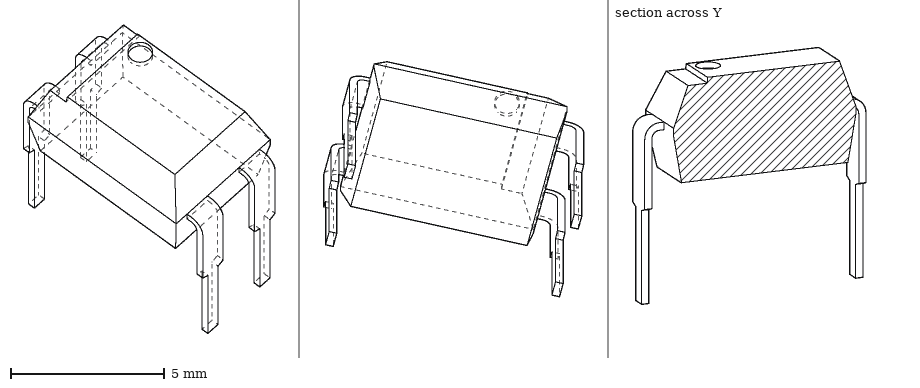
import cadquery as cq
import math

body_length = 6.5
body_width = 4.6
band_height = 0.3
upper_height = 1.6
lower_height = 1.6
upper_draft = 20.0
lower_draft = 10.0

step_length = 1.2
step_depth = 0.2

dimple_diameter = 0.81
dimple_depth = 0.2
dimple_x = -1.49
dimple_y = 1.22

row_spacing = 7.62
lead_pitch = 2.54
lead_thickness = 0.26
lead_height = 6.2
lead_embed = 0.5
bend_outer_radius = 0.52
shoulder_width = 1.0
tip_width = 0.5
shoulder_drop = 2.9
taper_height = 0.1

band_top = lead_height
band_bottom = band_top - band_height
body_top = band_top + upper_height
lead_outer_x = (row_spacing + lead_thickness) / 2
bend_inner_radius = bend_outer_radius - lead_thickness


def tapered_block(base_z, height, draft):
    """Block starting at the band outline and narrowing away from it; a negative height goes down."""
    inset = abs(height) * math.tan(math.radians(draft))
    return (
        cq.Workplane("XY", origin=(0, 0, base_z))
        .rect(body_length, body_width)
        .workplane(offset=height)
        .rect(body_length - 2 * inset, body_width - 2 * inset)
        .loft(ruled=True)
    )


def make_body():
    band = cq.Workplane("XY", origin=(0, 0, band_bottom)).rect(body_length, body_width).extrude(band_height)
    upper = tapered_block(band_top, upper_height, upper_draft)
    lower = tapered_block(band_bottom, -lower_height, lower_draft)
    step = (
        cq.Workplane("XY", origin=(-body_length / 2, 0, body_top - step_depth))
        .box(step_length, body_width, step_depth, centered=(False, True, False))
    )
    dimple = (
        cq.Workplane("XY", origin=(dimple_x, dimple_y, body_top - dimple_depth))
        .circle(dimple_diameter / 2)
        .extrude(dimple_depth)
    )
    return band.union(upper).union(lower).cut(step).cut(dimple)


def make_lead():
    """Lead on the +X side, centred on Y = 0: a bent strip trimmed to its shouldered outline."""
    inner_end_x = body_length / 2 - lead_embed
    bend_x = lead_outer_x - bend_outer_radius
    bend_z = lead_height - bend_outer_radius
    diagonal = math.sqrt(0.5)
    strip = (
        cq.Workplane("XZ")
        .moveTo(inner_end_x, lead_height)
        .lineTo(bend_x, lead_height)
        .threePointArc(
            (bend_x + bend_outer_radius * diagonal, bend_z + bend_outer_radius * diagonal),
            (lead_outer_x, bend_z),
        )
        .lineTo(lead_outer_x, 0)
        .lineTo(lead_outer_x - lead_thickness, 0)
        .lineTo(lead_outer_x - lead_thickness, bend_z)
        .threePointArc(
            (bend_x + bend_inner_radius * diagonal, bend_z + bend_inner_radius * diagonal),
            (bend_x, lead_height - lead_thickness),
        )
        .lineTo(inner_end_x, lead_height - lead_thickness)
        .close()
        .extrude(shoulder_width / 2, both=True)
    )
    shoulder_z = lead_height - shoulder_drop
    taper_end_z = shoulder_z - taper_height
    outline = (
        cq.Workplane("YZ")
        .moveTo(-shoulder_width / 2, lead_height)
        .lineTo(-shoulder_width / 2, shoulder_z)
        .lineTo(-tip_width / 2, taper_end_z)
        .lineTo(-tip_width / 2, 0)
        .lineTo(tip_width / 2, 0)
        .lineTo(tip_width / 2, taper_end_z)
        .lineTo(shoulder_width / 2, shoulder_z)
        .lineTo(shoulder_width / 2, lead_height)
        .close()
        .extrude(lead_outer_x)
    )
    return strip.intersect(outline)


result = make_body()
right_lead = make_lead()
left_lead = right_lead.mirror("YZ")
for lead_y in (-lead_pitch / 2, lead_pitch / 2):
    for lead in (left_lead, right_lead):
        result = result.union(lead.translate((0, lead_y, 0)))